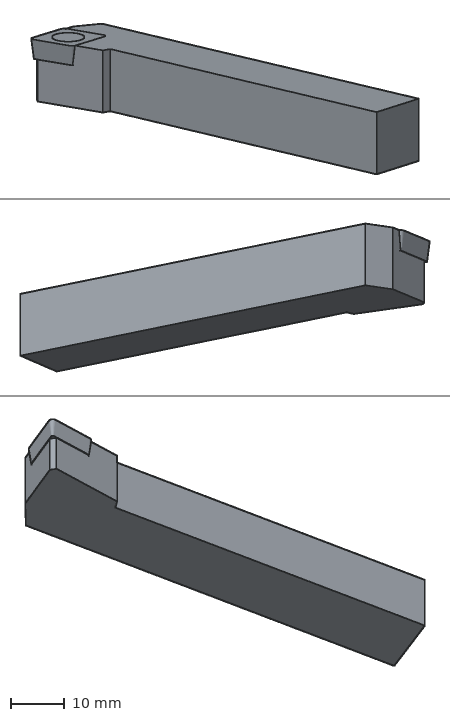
import cadquery as cq
import math


total_length = 81.2
shank_size = 12.0
shank_back_y = 16.5
shank_front_y = shank_back_y - shank_size

lead_angle = 1.0
point_angle = 80.0
inscribed_diameter = 9.5
nose_radius = 0.8
insert_thickness = 3.9
relief_angle = 7.0
hole_diameter = 6.0

head_setback = 0.6
head_nose_chamfer = 1.0
back_chamfer_x = 3.6
back_chamfer_y = 11.5
step_base_x = 15.5
step_top_x = 16.0

front_edge_angle = math.radians(90 - lead_angle - point_angle)
side_edge_angle = math.radians(90 - lead_angle)
half_point = math.radians(point_angle / 2)
bisector_angle = front_edge_angle + half_point

inscribed_radius = inscribed_diameter / 2
center_distance = (inscribed_radius - nose_radius) / math.sin(half_point)
insert_x = nose_radius + center_distance * math.cos(bisector_angle)
insert_y = nose_radius + center_distance * math.sin(bisector_angle)


def from_insert_center(distance, angle):
    """Point at a polar position around the insert centre."""
    return (insert_x + distance * math.cos(angle), insert_y + distance * math.sin(angle))


def along(point, distance, angle):
    """Point moved a distance in a direction."""
    return (point[0] + distance * math.cos(angle), point[1] + distance * math.sin(angle))


def make_insert_blank():
    """Rounded rhombus that narrows downwards by the relief angle."""
    long_half = inscribed_radius / math.sin(half_point)
    short_half = inscribed_radius / math.cos(half_point)
    corners = [
        from_insert_center(long_half, bisector_angle + math.pi),
        from_insert_center(short_half, bisector_angle - math.pi / 2),
        from_insert_center(long_half, bisector_angle),
        from_insert_center(short_half, bisector_angle + math.pi / 2),
    ]
    sharp = cq.Sketch().polygon(corners + corners[:1])
    outline = sharp.vertices().fillet(nose_radius)
    return (
        cq.Workplane("XY", origin=(0, 0, shank_size))
        .placeSketch(outline)
        .extrude(-insert_thickness, taper=relief_angle)
    )


def make_hole_plug():
    """Cylinder that fills the insert's centre hole."""
    return (
        cq.Workplane("XY", origin=(insert_x, insert_y, shank_size - insert_thickness))
        .circle(hole_diameter / 2)
        .extrude(insert_thickness)
    )


def make_insert():
    return make_insert_blank().cut(make_hole_plug())


def make_holder():
    """Shank and head with a seat for the insert and a stud through its hole."""
    head_corner = from_insert_center(
        (inscribed_radius - head_setback) / math.sin(half_point), bisector_angle + math.pi
    )
    side_x = head_corner[0] + (back_chamfer_y - head_corner[1]) / math.tan(side_edge_angle)
    step_base_y = head_corner[1] + (step_base_x - head_corner[0]) * math.tan(front_edge_angle)
    outline = [
        along(head_corner, head_nose_chamfer, side_edge_angle),
        along(head_corner, head_nose_chamfer, front_edge_angle),
        (step_base_x, step_base_y),
        (step_top_x, shank_front_y),
        (total_length, shank_front_y),
        (total_length, shank_back_y),
        (back_chamfer_x, shank_back_y),
        (side_x, back_chamfer_y),
    ]
    body = cq.Workplane("XY").polyline(outline).close().extrude(shank_size)
    return body.cut(make_insert())


holder = make_holder()
insert = make_insert()

result = cq.Compound.makeCompound([holder.val(), insert.val()])